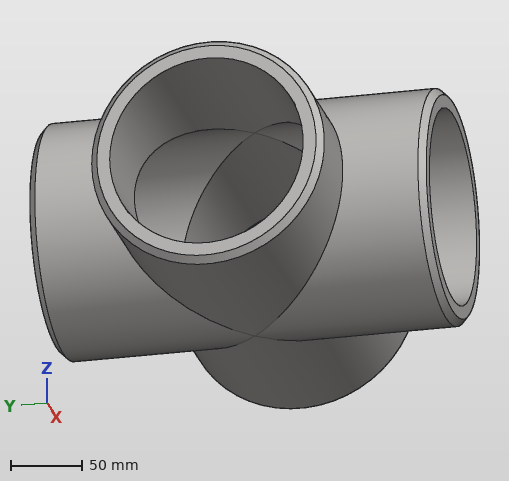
import cadquery as cq

length = 286.0
outer_diameter = 168.0
bore_diameter = 139.5
chamfer = 5.0


def centred_cylinder(plane, diameter):
    """Cylinder of the full run length, centred along the normal of the plane."""
    return cq.Workplane(plane).circle(diameter / 2).extrude(length / 2, both=True)


def chamfered_run(plane, end_faces):
    """Solid outer run with its two end rims bevelled."""
    return centred_cylinder(plane, outer_diameter).faces(end_faces).chamfer(chamfer)


body = chamfered_run("YZ", "|X").union(chamfered_run("XZ", "|Y"))

for plane in ("YZ", "XZ"):
    body = body.cut(centred_cylinder(plane, bore_diameter))

result = body